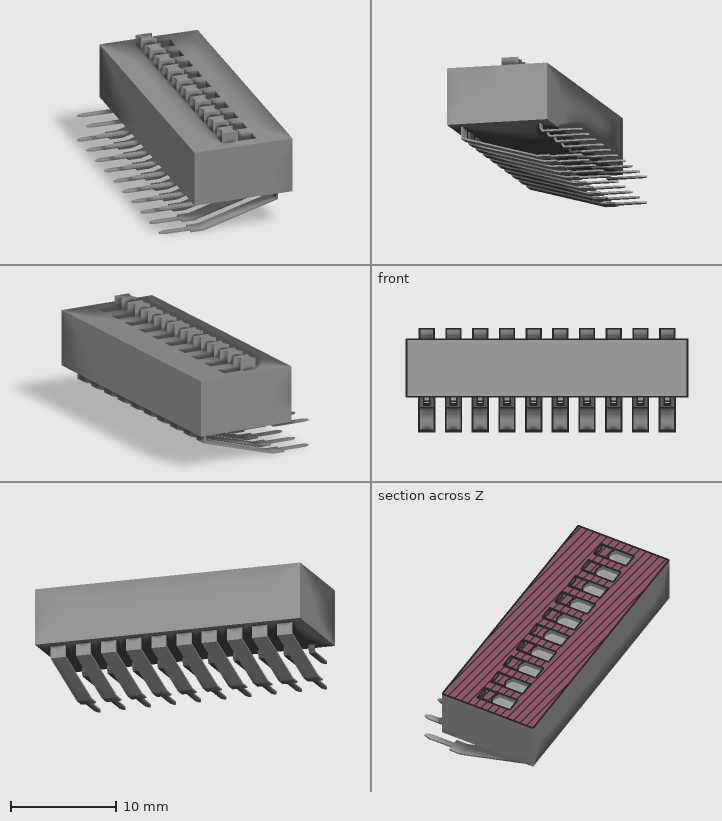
import cadquery as cq
import math

body_length = 26.76
body_depth = 9.9
body_height = 5.5
body_front = -body_depth / 2

position_count = 10
position_pitch = 2.54

slot_width = 1.5
slot_length = 3.5
slot_depth = 1.0
slot_front = body_front + 3.2
slot_floor = body_height - slot_depth
actuator_width = 1.4
actuator_length = 1.65
actuator_rise = 1.0
actuator_front_hollow = 0.25
actuator_rear_hollow = 0.35

row_spacing = 7.62
pin_thickness = 0.16
pin_reach = 2.9
pin_tip_y = body_front - pin_reach
tail_width = 0.6
taper_length = 0.5
tip_width = 0.2

front_pin_drop = 0.8
front_bend_reach = 0.2
front_bend_rise = 0.36

rear_pin_width = 1.5
rear_pin_drop = 3.31
rear_bend_drop = 1.17
rear_foot_y = body_front + 1.35
rear_shoulder_y = body_front + 0.1


def make_body():
    """Plain rectangular housing."""
    return cq.Workplane("XY").box(body_length, body_depth, body_height, centered=(True, True, False))


def make_slot(x):
    """Rectangular pocket in the top face."""
    size = (slot_width, slot_length, slot_depth)
    return cq.Workplane("XY").box(*size, centered=(True, False, False)).translate((x, slot_front, slot_floor))


def make_actuator(x):
    """Slider standing on the slot floor, with hollowed front and rear faces."""
    half = actuator_width / 2
    rear = slot_front + actuator_length
    return (
        cq.Workplane("XY")
        .workplane(offset=slot_floor)
        .moveTo(x - half, slot_front)
        .threePointArc((x, slot_front + actuator_front_hollow), (x + half, slot_front))
        .lineTo(x + half, rear)
        .threePointArc((x, rear - actuator_rear_hollow), (x - half, rear))
        .close()
        .extrude(slot_depth + actuator_rise)
    )


def make_strip(profile, width, x):
    """Bent strip: a (Y, Z) side profile extruded along X."""
    return cq.Workplane("YZ").polyline(profile).close().extrude(width / 2, both=True).translate((x, 0, 0))


def make_tail_plan(x):
    """Tall prism with the plan outline of a narrow pin that ends in a tapered tip."""
    taper_y = pin_tip_y + taper_length
    right_side = [
        (tail_width / 2, body_depth / 2),
        (tail_width / 2, taper_y),
        (tip_width / 2, pin_tip_y),
    ]
    left_side = [(-side_x, side_y) for side_x, side_y in reversed(right_side)]
    plan = cq.Workplane("XY").polyline(right_side + left_side).close().extrude(-rear_pin_drop)
    return plan.translate((x, 0, 0))


def make_shank_plan(x):
    """Tall block covering the wide part of a rear pin, up to its shoulders."""
    size = (rear_pin_width, body_depth / 2 - rear_shoulder_y, rear_pin_drop)
    block = cq.Workplane("XY").box(*size, centered=(True, False, False))
    return block.translate((x, rear_shoulder_y, -rear_pin_drop))


def make_front_pin(x):
    """Narrow pin leaving the underside and turning forward through a short steep bend."""
    front_face = -row_spacing / 2 - pin_thickness / 2
    back_face = front_face + pin_thickness
    bottom = -front_pin_drop
    top = bottom + pin_thickness
    lean = math.atan2(front_bend_reach, front_bend_rise)
    upper_shift = pin_thickness * math.tan(lean / 2)
    lower_shift = pin_thickness * math.tan((math.pi / 2 - lean) / 2)
    profile = [
        (back_face, 0),
        (back_face, bottom + front_bend_rise),
        (back_face - front_bend_reach, bottom),
        (pin_tip_y, bottom),
        (pin_tip_y, top),
        (back_face - front_bend_reach - lower_shift, top),
        (front_face, bottom + front_bend_rise + upper_shift),
        (front_face, 0),
    ]
    strip = make_strip(profile, tail_width, x)
    return strip.intersect(make_tail_plan(x))


def make_rear_pin(x):
    """Wide pin dropping from the rear row, sloping forward, then running level to the tip."""
    back_face = row_spacing / 2 + pin_thickness / 2
    front_face = back_face - pin_thickness
    bottom = -rear_pin_drop
    slope = math.atan2(rear_pin_drop - rear_bend_drop, back_face - rear_foot_y)
    upper_bend_rise = pin_thickness * math.tan((math.pi / 2 - slope) / 2)
    lower_bend_shift = pin_thickness * math.tan(slope / 2)
    profile = [
        (back_face, 0),
        (back_face, -rear_bend_drop),
        (rear_foot_y, bottom),
        (pin_tip_y, bottom),
        (pin_tip_y, bottom + pin_thickness),
        (rear_foot_y - lower_bend_shift, bottom + pin_thickness),
        (front_face, -rear_bend_drop + upper_bend_rise),
        (front_face, 0),
    ]
    strip = make_strip(profile, rear_pin_width, x)
    return strip.intersect(make_tail_plan(x).union(make_shank_plan(x)))


result = make_body()
for index in range(position_count):
    centre_x = (index - (position_count - 1) / 2) * position_pitch
    result = result.cut(make_slot(centre_x))
    result = result.union(make_actuator(centre_x))
    result = result.union(make_front_pin(centre_x))
    result = result.union(make_rear_pin(centre_x))